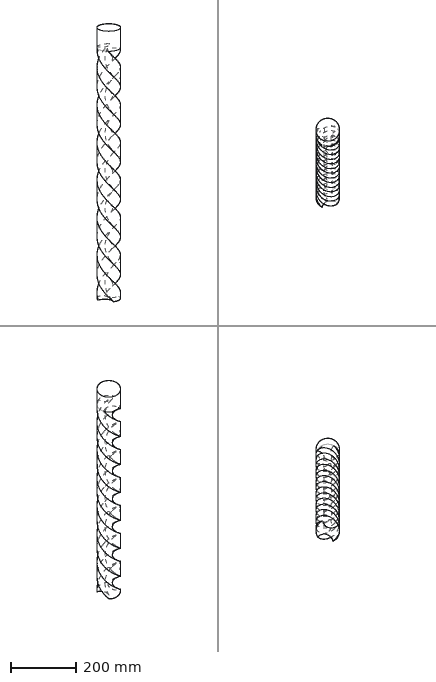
import cadquery as cq
import math

LENGTH = 876.0
DIAMETER = 73.0
SHANK_LENGTH = 65.0

FLUTE_COUNT = 2
TURN_PITCH = 243.0
CORE_DIAMETER = 23.0
FLUTE_ANGLE = 84.0

radius = DIAMETER / 2
core_radius = CORE_DIAMETER / 2
fluted_length = LENGTH - SHANK_LENGTH
twist_angle = -360.0 * fluted_length / TURN_PITCH


def polar(distance, angle):
    """Point at a distance from the axis and an angle in degrees from +X."""
    turn = math.radians(angle)
    return distance * math.cos(turn), distance * math.sin(turn)


def fluted_section():
    """Cross-section at the tip: lands face +X and -X, flutes face +Y and -Y."""
    step = 360.0 / FLUTE_COUNT
    half_flute = FLUTE_ANGLE / 2
    section = cq.Workplane("XY").moveTo(*polar(radius, half_flute - step / 2))
    for index in range(FLUTE_COUNT):
        land = index * step
        flute = land + step / 2
        section = section.threePointArc(polar(radius, land), polar(radius, flute - half_flute))
        section = section.threePointArc(polar(core_radius, flute), polar(radius, flute + half_flute))
    return section.close()


fluted_body = fluted_section().twistExtrude(fluted_length, twist_angle)
shank = cq.Workplane("XY").workplane(offset=fluted_length).circle(radius).extrude(SHANK_LENGTH)

result = shank.union(fluted_body)